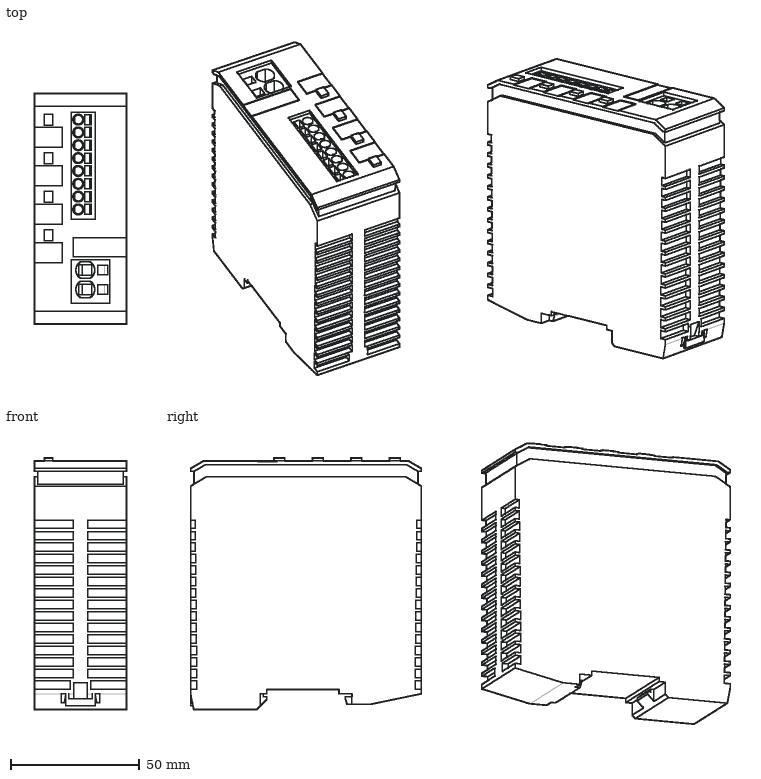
import cadquery as cq
import math

width = 36.0
depth = 90.0
height = 98.1
half_width = width / 2
half_depth = depth / 2

cap_top = 96.9
cap_thickness = 1.5
cap_edge_bottom = 92.8
slope_run = 5.0
slope_drop = 2.9
slope_ratio = slope_drop / slope_run
neck_inset = 1.3
neck_half_depth = half_depth - neck_inset
neck_bottom = 83.4

body_top = 90.7
body_slope_run = 6.2
body_corner = 87.1
toe_top = 6.1
toe_run = 1.2
notch_top = 7.75
shelf_z = 6.1
notch_back = 12.9
notch_front = -15.2
foot_inner_back = 17.9
foot_inner_front = -17.9
back_foot_bottom = 2.0
back_foot_flat_end = 25.0
front_foot_chamfer = 1.3

hook_top = 5.0
fixed_hook_half_width = 13.1
fixed_hook_tip = 15.2
fixed_hook_land = 0.6
fixed_hook_base = 16.0
hook_root = -16.6
clip_half_width = 5.7

slot_rows = 15
slot_height = 3.2
first_slot_top = 73.9
last_slot_top = 11.2
slot_pitch = (first_slot_top - last_slot_top) / (slot_rows - 1)
top_slot_depth = 1.8
bottom_slot_depth = 2.5
centre_strip = 5.6
bottom_centre_strip = 8.0

clip_bottom = 1.5
relief_bottom = 2.6
relief_half_width = 7.6
relief_depth = 2.0
clip_ledge = 4.2
clip_window_width = 9.0
tool_slot_width = 5.1
tool_slot_top = 10.4
tool_slot_depth = 2.4

button_count = 4
button_pitch = 15.0
button_size = (3.3, 4.3)
first_button = (-12.5, 34.6)
label_depth = 0.3
label_width = 10.9
label_length = 7.75
label_offset = 6.8
side_label_width = 20.8
side_label_y = (-18.6, -11.4)

connector_left = -3.6
recess_depth = 1.5
recess_floor = cap_top - recess_depth

signal_recess_right = 5.7
signal_recess_y = (-4.0, 37.6)
signal_count = 8
signal_pitch = 5.0
first_signal_y = 34.7
signal_hole_x = -0.9
signal_hole_diameter = 4.1
signal_floor_diameter = 3.5
signal_hole_depth = 4.9
signal_ledge_x = -2.3
signal_ledge_drop = 2.0
signal_window_x = (1.7, 4.1)
signal_window_floor_right = 3.6
signal_window_length = 3.9
signal_window_depth = 3.9

power_recess_right = 11.5
power_recess_y = (-36.8, -19.8)
power_count = 2
power_pitch = 7.6
first_power_y = -23.9
power_hole_x = 1.9
power_hole_diameter = 7.4
power_hole_length = 6.5
power_hole_depth = 6.9
power_funnel_depth = 2.5
power_funnel_x = (-0.7, 4.4)
power_funnel_length = 4.0
power_step_x = 0.6
power_step_drop = 1.0
power_floor_rise = 2.7
power_window_x = (6.8, 10.6)
power_window_break = 9.3
power_window_length = 3.7
power_window_depth = 5.4
power_window_break_height = 1.8
power_window_wall_height = 3.3


def block(x_range, y_range, z_range):
    """Axis-aligned box between pairs of limits."""
    size = [limits[1] - limits[0] for limits in (x_range, y_range, z_range)]
    corner = (x_range[0], y_range[0], z_range[0])
    return cq.Workplane("XY").box(*size, centered=False).translate(corner)


def slab(points, half_thickness):
    """Prism along X from a (Y, Z) outline, centred on X = 0."""
    return cq.Workplane("YZ").polyline(points).close().extrude(half_thickness, both=True)


def channel(points, y_centre, length):
    """Prism along Y from an (X, Z) outline, centred on the given Y."""
    profile = cq.Workplane("XZ", origin=(0, y_centre, 0)).polyline(points).close()
    return profile.extrude(length / 2, both=True)


def make_body():
    shoulder = half_depth - body_slope_run
    return slab(
        [
            (-shoulder, body_top),
            (shoulder, body_top),
            (half_depth, body_corner),
            (half_depth, toe_top),
            (back_foot_flat_end, back_foot_bottom),
            (foot_inner_back, back_foot_bottom),
            (foot_inner_back, shelf_z),
            (notch_back, shelf_z),
            (notch_back, notch_top),
            (notch_front, notch_top),
            (notch_front, shelf_z),
            (foot_inner_front, shelf_z),
            (foot_inner_front, front_foot_chamfer),
            (foot_inner_front - front_foot_chamfer, 0),
            (-half_depth + toe_run, 0),
            (-half_depth, toe_top),
            (-half_depth, body_corner),
        ],
        half_width,
    )


def make_neck_and_cap():
    ceiling = cap_top - cap_thickness
    ceiling_half = neck_half_depth - (ceiling - cap_edge_bottom) / slope_ratio
    underside = [
        (-neck_half_depth, cap_edge_bottom),
        (-ceiling_half, ceiling),
        (ceiling_half, ceiling),
        (neck_half_depth, cap_edge_bottom),
    ]
    neck_base = [(neck_half_depth, neck_bottom), (-neck_half_depth, neck_bottom)]
    neck = slab(underside + neck_base, half_width - neck_inset)
    flat_half = half_depth - slope_run
    rim = [
        (half_depth, cap_edge_bottom),
        (half_depth, cap_top - slope_drop),
        (flat_half, cap_top),
        (-flat_half, cap_top),
        (-half_depth, cap_top - slope_drop),
        (-half_depth, cap_edge_bottom),
    ]
    return neck.union(slab(underside + rim, half_width))


def make_fixed_hook():
    """Hook on the inner side of the back foot, undercut below its tip."""
    return slab(
        [
            (foot_inner_back, hook_top),
            (fixed_hook_tip, hook_top),
            (fixed_hook_tip, hook_top - fixed_hook_land),
            (fixed_hook_base, back_foot_bottom),
            (foot_inner_back, back_foot_bottom),
        ],
        fixed_hook_half_width,
    )


def make_sliding_hook():
    """Spring hook facing the fixed one, on the inner side of the front foot."""
    nose_bottom = front_foot_chamfer + notch_front - foot_inner_front
    return slab(
        [
            (foot_inner_front, shelf_z),
            (hook_root, shelf_z),
            (hook_root, hook_top),
            (notch_front, hook_top),
            (notch_front, nose_bottom),
            (foot_inner_front, front_foot_chamfer),
        ],
        clip_half_width,
    )


def make_release_clip():
    """Upright plate standing proud of the sloping toe, with a window in its top edge."""
    front = -half_depth
    back = front + toe_run
    plate_x = (-clip_half_width, clip_half_width)
    plate = block(plate_x, (front, back), (clip_bottom, toe_top))
    window_x = (-clip_window_width / 2, clip_window_width / 2)
    window = block(window_x, (front, back), (clip_ledge, toe_top))
    return plate.cut(window)


def make_clip_reliefs():
    """Wedge-shaped pockets beside the clip plate, deepest at their outer walls."""
    front = -half_depth
    base = cq.Workplane("XY", origin=(0, 0, relief_bottom))
    corners = [
        (clip_half_width, front),
        (relief_half_width, front),
        (relief_half_width, front + relief_depth),
    ]
    relief = base.polyline(corners).close().extrude(toe_top - relief_bottom)
    return relief.union(relief.mirror("YZ"))


def make_tool_slot():
    """Wedge-shaped screwdriver pocket, deepest just above the clip ledge."""
    front = -half_depth
    return slab(
        [
            (front, tool_slot_top),
            (front, clip_ledge),
            (front + tool_slot_depth, clip_ledge),
        ],
        tool_slot_width / 2,
    )


def make_cooling_slots():
    """Rows of slots left and right of a plain centre strip, deeper towards the bottom."""
    slots = cq.Workplane("XY")
    for row in range(slot_rows):
        top = first_slot_top - row * slot_pitch
        cut_depth = top_slot_depth + (bottom_slot_depth - top_slot_depth) * row / (slot_rows - 1)
        is_last = row == slot_rows - 1
        strip = bottom_centre_strip if is_last else centre_strip
        slot_length = half_width - strip / 2
        for x_side in (-1, 1):
            for y_side in (-1, 1):
                x_centre = x_side * (strip / 2 + slot_length / 2)
                y_centre = y_side * (half_depth - cut_depth / 2)
                slot = cq.Workplane("XY").box(slot_length, cut_depth, slot_height)
                slots = slots.add(slot.translate((x_centre, y_centre, top - slot_height / 2)))
    return slots.combine()


def button_rows():
    return [first_button[1] - index * button_pitch for index in range(button_count)]


def make_buttons():
    centres = [(first_button[0], y) for y in button_rows()]
    base = cq.Workplane("XY", origin=(0, 0, cap_top)).pushPoints(centres)
    return base.rect(*button_size).extrude(height - cap_top)


def make_label_recesses():
    z_range = (cap_top - label_depth, cap_top)
    recesses = block((half_width - side_label_width, half_width), side_label_y, z_range)
    for button_y in button_rows():
        centre = button_y - label_offset
        y_range = (centre - label_length / 2, centre + label_length / 2)
        recesses = recesses.union(block((-half_width, -half_width + label_width), y_range, z_range))
    return recesses


def make_signal_pole(y):
    """Tapered round wire hole with a ledge, and a release window with one sloping wall."""
    floor = recess_floor - signal_hole_depth
    hole = (
        cq.Workplane("XY", origin=(signal_hole_x, y, floor))
        .circle(signal_floor_diameter / 2)
        .workplane(offset=signal_hole_depth)
        .circle(signal_hole_diameter / 2)
        .loft()
    )
    ledge_x = (signal_hole_x - signal_hole_diameter, signal_ledge_x)
    ledge_y = (y - signal_hole_diameter, y + signal_hole_diameter)
    ledge = block(ledge_x, ledge_y, (floor, floor + signal_ledge_drop))
    window_floor = recess_floor - signal_window_depth
    window = channel(
        [
            (signal_window_x[0], recess_floor),
            (signal_window_x[0], window_floor),
            (signal_window_floor_right, window_floor),
            (signal_window_x[1], recess_floor),
        ],
        y,
        signal_window_length,
    )
    return hole.cut(ledge).union(window)


def power_outline(y, z):
    """Circle with flats on its two Y sides, drawn at height z."""
    radius = power_hole_diameter / 2
    flat_y = power_hole_length / 2
    flat_x = math.sqrt(radius**2 - flat_y**2)
    return (
        cq.Workplane("XY", origin=(power_hole_x, y, z))
        .moveTo(-flat_x, -flat_y)
        .lineTo(flat_x, -flat_y)
        .threePointArc((radius, 0), (flat_x, flat_y))
        .lineTo(-flat_x, flat_y)
        .threePointArc((-radius, 0), (-flat_x, -flat_y))
        .close()
    )


def make_power_funnel(y, top):
    """Continuation of the wire hole, narrowing to a rectangle with a stepped floor rising along X."""
    left, right = power_funnel_x
    neck = top - power_funnel_depth
    floor_slope = power_floor_rise / (right - left)
    step_top = neck - floor_slope * (right - power_step_x)
    step_bottom = step_top - power_step_drop
    floor = step_bottom - floor_slope * (power_step_x - left)
    lengthwise = channel(
        [
            (left, top),
            (left, floor),
            (power_step_x, step_bottom),
            (power_step_x, step_top),
            (right, neck),
            (power_hole_x + power_hole_diameter / 2, top),
        ],
        y,
        power_hole_length,
    )
    wide = power_hole_length / 2
    narrow = power_funnel_length / 2
    crosswise = slab(
        [
            (y - wide, top),
            (y - narrow, neck),
            (y - narrow, floor),
            (y + narrow, floor),
            (y + narrow, neck),
            (y + wide, top),
        ],
        half_width,
    )
    return power_outline(y, floor).extrude(top - floor).intersect(lengthwise).intersect(crosswise)


def make_power_pole(y):
    """Flat-sided round wire hole ending in a funnel, and a window with a rising floor."""
    hole_floor = recess_floor - power_hole_depth
    hole = power_outline(y, hole_floor).extrude(power_hole_depth)
    funnel = make_power_funnel(y, hole_floor)
    window_floor = recess_floor - power_window_depth
    window = channel(
        [
            (power_window_x[0], recess_floor),
            (power_window_x[0], window_floor),
            (power_window_break, window_floor + power_window_break_height),
            (power_window_x[1], window_floor + power_window_wall_height),
            (power_window_x[1], recess_floor),
        ],
        y,
        power_window_length,
    )
    return hole.union(funnel).union(window)


def make_connector(right, y_range, make_pole, first_y, pitch, count):
    """Rectangular recess with a row of poles sunk into its floor."""
    connector = block((connector_left, right), y_range, (recess_floor, cap_top))
    for index in range(count):
        connector = connector.union(make_pole(first_y - index * pitch))
    return connector


signal_connector = make_connector(
    signal_recess_right, signal_recess_y, make_signal_pole, first_signal_y, signal_pitch, signal_count
)
power_connector = make_connector(
    power_recess_right, power_recess_y, make_power_pole, first_power_y, power_pitch, power_count
)

housing = make_body().union(make_neck_and_cap())
housing = housing.union(make_fixed_hook()).union(make_sliding_hook()).union(make_release_clip())
housing = housing.cut(make_cooling_slots()).cut(make_clip_reliefs()).cut(make_tool_slot())
housing = housing.cut(make_label_recesses()).cut(signal_connector).cut(power_connector)
result = housing.union(make_buttons())